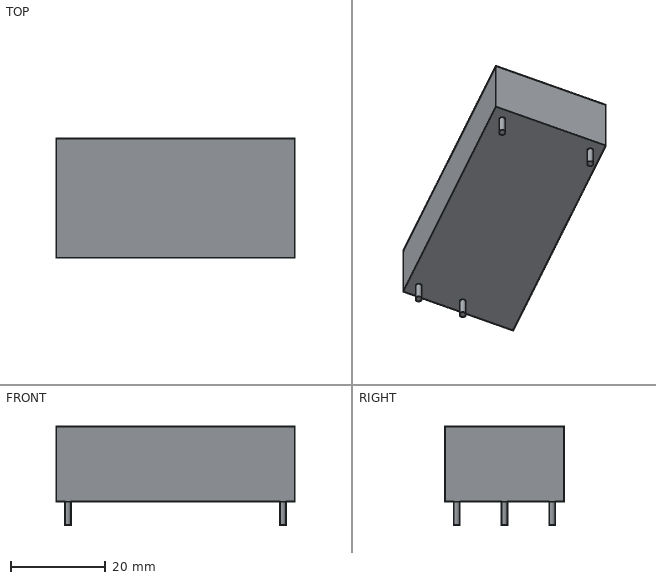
import cadquery as cq

housing_length = 50.8
housing_width = 25.4
housing_height = 16.0

pin_diameter = 1.3
pin_length = 5.0
pin_span_x = 45.7
pin_span_y = 20.3

pin_x = pin_span_x / 2
pin_y = pin_span_y / 2
pin_positions = [
    (-pin_x, -pin_y),
    (-pin_x, pin_y),
    (pin_x, pin_y),
    (pin_x, 0),
]


def make_housing():
    """Block with its underside at Z = 0, centred in X and Y."""
    return cq.Workplane("XY").box(
        housing_length, housing_width, housing_height, centered=(True, True, False)
    )


def make_pin(x, y):
    """Round pin that hangs down from the underside of the housing."""
    return cq.Workplane("XY").center(x, y).circle(pin_diameter / 2).extrude(-pin_length)


housing = make_housing()
pins = [make_pin(x, y) for x, y in pin_positions]

result = cq.Compound.makeCompound([housing.val(), *[pin.val() for pin in pins]])